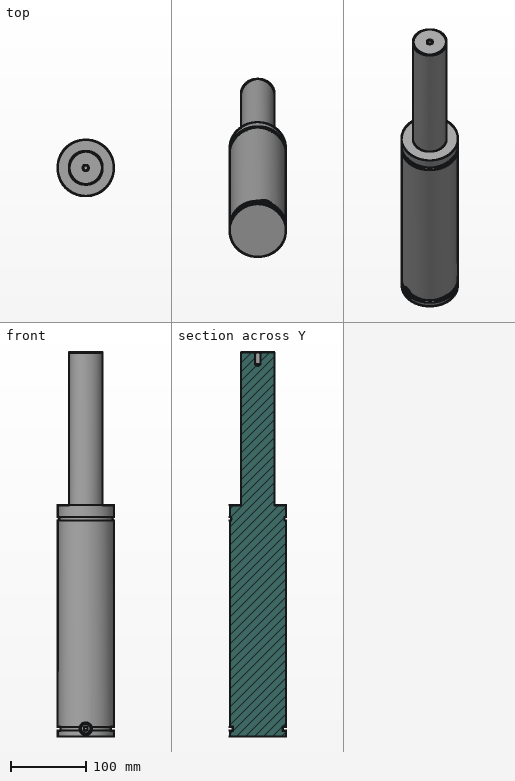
import cadquery as cq
import math

total_length = 510.0
stroke = 203.0
body_length = total_length - stroke
body_radius = 75.0 / 2
rod_radius = 45.0 / 2

rod_chamfer = 1.0

base_groove_bottom = 8.0
base_groove_width = 5.0
base_groove_depth = 4.0
cutter_overlap = 1.0

top_groove_centre = body_length - 18.0
top_groove_radius = 2.5
top_groove_depth = 2.0

port_height = base_groove_bottom + base_groove_width / 2
port_radius = 16.0 / 2
port_depth = base_groove_depth
port_seat_thickness = 4.0
plug_radius = 14.0 / 2
plug_rim_width = 0.5
plug_dish_depth = 1.0
socket_across_flats = 5.0
socket_depth = 3.0

rod_hole_radius = 6.8 / 2
rod_hole_depth = 16.0
rod_hole_mouth_chamfer = 0.6
drill_point_angle = 118.0


def make_body():
    return cq.Workplane("XY").circle(body_radius).extrude(body_length)


def make_rod():
    rod = cq.Workplane("XY").workplane(offset=body_length).circle(rod_radius).extrude(stroke)
    return rod.faces(">Z").edges().chamfer(rod_chamfer)


def make_base_groove():
    ring = cq.Workplane("XY").workplane(offset=base_groove_bottom)
    ring = ring.circle(body_radius + cutter_overlap).circle(body_radius - base_groove_depth)
    return ring.extrude(base_groove_width)


def make_top_groove():
    ring_radius = body_radius + top_groove_radius - top_groove_depth
    profile = cq.Workplane("XZ").center(ring_radius, top_groove_centre).circle(top_groove_radius)
    return profile.revolve(360, (-ring_radius, 0), (-ring_radius, 1))


def port_plane(depth):
    """Workplane facing -Y on the port axis, set in from the outermost line of the body."""
    return cq.Workplane("XZ", origin=(0, depth - body_radius, port_height))


def make_port_seat():
    """Flat floor of the port, filling the base groove behind it."""
    return port_plane(port_depth + port_seat_thickness).circle(port_radius).extrude(port_seat_thickness)


def make_port_pocket():
    return port_plane(port_depth).circle(port_radius).extrude(port_depth + cutter_overlap)


def make_plug():
    plug = port_plane(port_depth).circle(plug_radius).extrude(port_depth)
    dish = port_plane(plug_dish_depth).circle(plug_radius - plug_rim_width).extrude(plug_dish_depth)
    return plug.cut(dish)


def make_plug_socket():
    corner_diameter = socket_across_flats / math.cos(math.pi / 6)
    socket = port_plane(plug_dish_depth + socket_depth).transformed(rotate=(0, 0, 30))
    return socket.polygon(6, corner_diameter).extrude(socket_depth)


def make_rod_hole():
    point_depth = rod_hole_radius / math.tan(math.radians(drill_point_angle / 2))
    shoulder = total_length - rod_hole_depth
    mouth_radius = rod_hole_radius + rod_hole_mouth_chamfer
    profile = cq.Workplane("XZ").moveTo(0, total_length).lineTo(mouth_radius, total_length)
    profile = profile.lineTo(rod_hole_radius, total_length - rod_hole_mouth_chamfer)
    profile = profile.lineTo(rod_hole_radius, shoulder).lineTo(0, shoulder - point_depth).close()
    return profile.revolve(360, (0, 0), (0, 1))


cylinder = make_body().cut(make_base_groove()).cut(make_top_groove())
cylinder = cylinder.union(make_port_seat()).cut(make_port_pocket())
cylinder = cylinder.union(make_plug()).cut(make_plug_socket())
result = cylinder.union(make_rod()).cut(make_rod_hole())